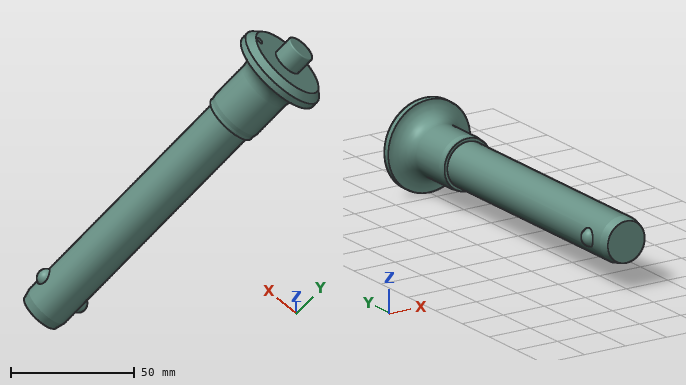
import cadquery as cq
import math


shaft_radius = 10.0
shaft_length = 117.0
lead_in_length = 4.2
tip_radius = 9.0

ball_radius = 4.0
ball_reach = 12.5
grip_length = 100.0
ball_center_x = ball_reach - ball_radius
ball_center_y = -grip_length - math.sqrt(ball_radius**2 - (shaft_radius - ball_center_x)**2)

flange_radius = 20.0
flange_rim_width = 3.0
flange_chamfer = 3.0
hub_radius = 11.75
flare_radius = flange_radius - hub_radius
ring_radius = 11.4
ring_length = 1.5
taper_start = 3.4
hub_length = 20.25
rim_front = hub_length + flare_radius
rim_back = rim_front + flange_rim_width
flange_back = rim_back + flange_chamfer

button_radius = 6.25
button_end = 43.1
button_fillet = 0.5

tether_hole_radius = 1.5
tether_hole_x = 15.0


def make_turned_body():
    """Shaft, handle and button as one half-outline turned about the Y axis."""
    flare_offset = flare_radius * math.sqrt(0.5)
    flare_middle = (flange_radius - flare_offset, rim_front - flare_radius + flare_offset)
    return (
        cq.Workplane("XY")
        .moveTo(0, -shaft_length)
        .lineTo(tip_radius, -shaft_length)
        .lineTo(shaft_radius, -shaft_length + lead_in_length)
        .lineTo(shaft_radius, 0)
        .lineTo(ring_radius, 0)
        .lineTo(ring_radius, ring_length)
        .lineTo(hub_radius, taper_start)
        .lineTo(hub_radius, hub_length)
        .threePointArc(flare_middle, (flange_radius, rim_front))
        .lineTo(flange_radius, rim_back)
        .lineTo(flange_radius - flange_chamfer, flange_back)
        .lineTo(button_radius, flange_back)
        .lineTo(button_radius, button_end - button_fillet)
        .tangentArcPoint((button_radius - button_fillet, button_end), relative=False)
        .lineTo(0, button_end)
        .close()
        .revolve(360, (0, 0, 0), (0, 1, 0))
    )


def make_ball(side):
    """Locking ball on the +X (side = 1) or -X (side = -1) flank of the shaft."""
    return cq.Workplane("XY").sphere(ball_radius).translate((side * ball_center_x, ball_center_y, 0))


def make_tether_hole():
    """Cutter parallel to the pin axis, running from the flange back down to the hub end of the flare."""
    return (
        cq.Workplane("XZ", origin=(0, flange_back, 0))
        .center(tether_hole_x, 0)
        .circle(tether_hole_radius)
        .extrude(flange_back - hub_length)
    )


result = make_turned_body().cut(make_tether_hole())
for side in (1, -1):
    result = result.union(make_ball(side))